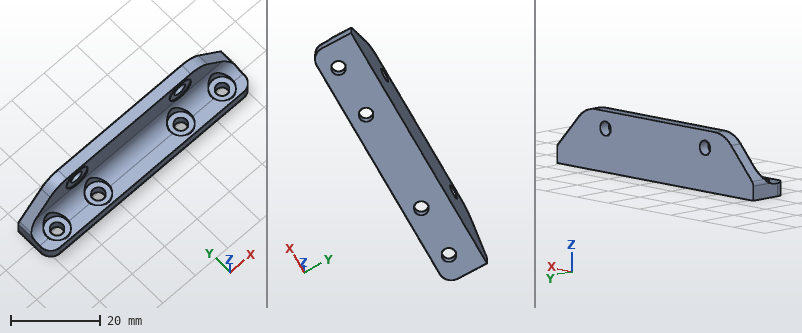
import cadquery as cq
import math

length = 62.61
depth = 10.5
height = 14.0
thickness = 3.0
inner_fillet = 4.0
corner_radius = 3.0

slope_angle = 47.5
slope_foot_height = 4.0
shoulder_radius = 7.0
foot_radius = 1.5

hole_diameter = 3.3
base_seat_diameter = 6.25
wall_seat_diameter = 6.5
base_seat_depth = 0.5
wall_seat_depth = 0.25
hole_edge_distance = 4.0
base_hole_offsets = (12.7, 25.4)
wall_hole_offset = 15.875

half_length = length / 2
wall_face_y = depth - thickness


def make_profile_body():
    """L section with a concave inner fillet, extruded along X and centred on X = 0."""
    return (
        cq.Workplane("YZ")
        .moveTo(0, 0)
        .lineTo(depth, 0)
        .lineTo(depth, height)
        .lineTo(wall_face_y, height)
        .lineTo(wall_face_y, thickness + inner_fillet)
        .radiusArc((wall_face_y - inner_fillet, thickness), inner_fillet)
        .lineTo(0, thickness)
        .close()
        .extrude(half_length, both=True)
    )


def make_end_outline():
    """Front outline with sloped, rounded ends, as a prism through the full depth."""
    slope_run = (height - slope_foot_height) / math.tan(math.radians(slope_angle))
    top_half_length = half_length - slope_run
    prism = (
        cq.Workplane("XZ")
        .polyline([
            (-half_length, 0),
            (half_length, 0),
            (half_length, slope_foot_height),
            (top_half_length, height),
            (-top_half_length, height),
            (-half_length, slope_foot_height),
        ])
        .close()
        .extrude(-depth)
    )
    for side in (-1, 1):
        shoulder = (side * top_half_length, depth / 2, height)
        foot = (side * half_length, depth / 2, slope_foot_height)
        prism = prism.edges(cq.NearestToPointSelector(shoulder)).fillet(shoulder_radius)
        prism = prism.edges(cq.NearestToPointSelector(foot)).fillet(foot_radius)
    return prism


def make_plan_outline():
    """Plan outline with the two front corners rounded."""
    return (
        cq.Workplane("XY")
        .box(length, depth, height, centered=(True, False, False))
        .edges("|Z and <Y")
        .fillet(corner_radius)
    )


def cut_base_holes(body):
    """Vertical screw holes; each head seat also clears the inner fillet above it."""
    seat_z = thickness - base_seat_depth
    points = [(side * x, hole_edge_distance) for x in base_hole_offsets for side in (-1, 1)]
    holes = cq.Workplane("XY").pushPoints(points).circle(hole_diameter / 2).extrude(thickness)
    seats = (
        cq.Workplane("XY", origin=(0, 0, seat_z))
        .pushPoints(points)
        .circle(base_seat_diameter / 2)
        .extrude(height - seat_z)
    )
    return body.cut(holes).cut(seats)


def cut_wall_holes(body):
    """Screw holes through the upright wall with shallow head seats on its front face."""
    seat_y = wall_face_y + wall_seat_depth
    points = [(side * wall_hole_offset, height - hole_edge_distance) for side in (-1, 1)]
    holes = cq.Workplane("XZ").pushPoints(points).circle(hole_diameter / 2).extrude(-depth)
    seats = (
        cq.Workplane("XZ")
        .pushPoints(points)
        .circle(wall_seat_diameter / 2)
        .extrude(-seat_y)
    )
    return body.cut(holes).cut(seats)


bracket = make_profile_body().intersect(make_end_outline()).intersect(make_plan_outline())
result = cut_wall_holes(cut_base_holes(bracket))